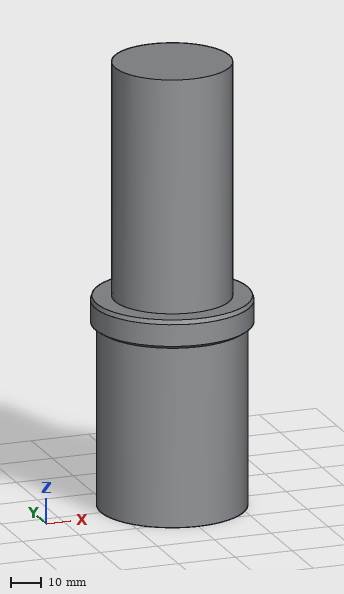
import cadquery as cq

total_height = 153.5
body_diameter = 50.0
body_height = 62.2
collar_diameter = 54.0
collar_top_height = 72.5
shank_diameter = 40.0
lower_bevel_height = 1.3
upper_bevel_height = 1.5
upper_bevel_width = 0.5

body_radius = body_diameter / 2
collar_radius = collar_diameter / 2
shank_radius = shank_diameter / 2
collar_rim_bottom = body_height + lower_bevel_height
collar_rim_top = collar_top_height - upper_bevel_height


def stepped_pin():
    """Solid of revolution: body, collar with bevelled rims, then shank."""
    half_profile = [
        (0, 0),
        (body_radius, 0),
        (body_radius, body_height),
        (collar_radius, collar_rim_bottom),
        (collar_radius, collar_rim_top),
        (collar_radius - upper_bevel_width, collar_top_height),
        (shank_radius, collar_top_height),
        (shank_radius, total_height),
        (0, total_height),
    ]
    return cq.Workplane("XZ").polyline(half_profile).close().revolve(360, (0, 0), (0, 1))


result = stepped_pin()